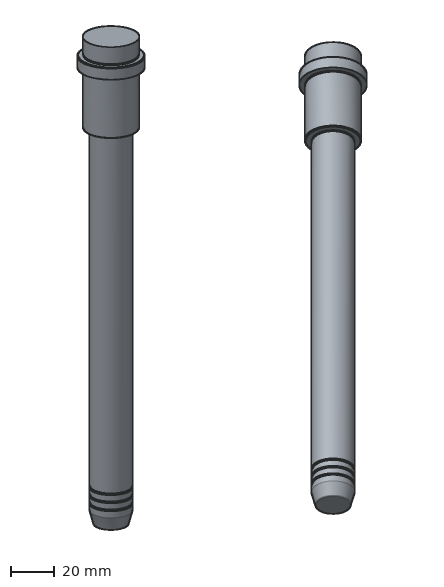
import cadquery as cq
import math

length = 240.0

shank_diameter = 20.0
head_diameter = 26.0
collar_diameter = 31.0

head_length = 45.0
collar_top_depth = 9.0
collar_thickness = 6.0
collar_chamfer = 0.5
head_chamfer = 0.5

relief_width = 0.7
relief_depth = 0.2

tip_length = 7.0
tip_angle = 15.0
tip_fillet = 0.5

groove_count = 3
first_groove_height = 10.5
last_groove_height = 18.5
groove_pitch = (last_groove_height - first_groove_height) / (groove_count - 1)
groove_width = 1.0
groove_depth = 0.5


def cylinder(diameter, bottom, height):
    return cq.Workplane("XY").workplane(offset=bottom).circle(diameter / 2).extrude(height)


def make_shank():
    """Long shank with a conical tip whose end edge is rounded."""
    radius = shank_diameter / 2
    end_radius = radius - tip_length * math.tan(math.radians(tip_angle))
    profile = (
        cq.Workplane("XZ")
        .moveTo(0, 0)
        .lineTo(end_radius, 0)
        .lineTo(radius, tip_length)
        .lineTo(radius, length - head_length)
        .lineTo(0, length - head_length)
        .close()
    )
    shank = profile.revolve(360, (0, 0, 0), (0, 1, 0))
    return shank.faces("<Z").edges().fillet(tip_fillet)


def make_head():
    head = cylinder(head_diameter, length - head_length, head_length)
    return head.faces("<Z").edges().chamfer(head_chamfer)


def make_collar():
    bottom = length - collar_top_depth - collar_thickness
    collar = cylinder(collar_diameter, bottom, collar_thickness)
    return collar.faces(">Z").edges().chamfer(collar_chamfer)


def make_relief(rod_diameter, bottom):
    """Ring to cut from a rod, leaving a shallow square groove."""
    outer = cylinder(collar_diameter, bottom, relief_width)
    core = cylinder(rod_diameter - 2 * relief_depth, bottom, relief_width)
    return outer.cut(core)


def cut_reliefs(body):
    collar_top = length - collar_top_depth
    collar_bottom = collar_top - collar_thickness
    for bottom in (collar_top, collar_bottom - relief_width):
        body = body.cut(make_relief(head_diameter, bottom))
    return body.cut(make_relief(shank_diameter, length - head_length - relief_width))


def make_v_groove(center_height):
    radius = shank_diameter / 2
    profile = (
        cq.Workplane("XZ")
        .moveTo(radius, center_height - groove_width / 2)
        .lineTo(radius - groove_depth, center_height)
        .lineTo(radius, center_height + groove_width / 2)
        .lineTo(head_diameter / 2, center_height + groove_width / 2)
        .lineTo(head_diameter / 2, center_height - groove_width / 2)
        .close()
    )
    return profile.revolve(360, (0, 0, 0), (0, 1, 0))


def cut_tip_grooves(body):
    for index in range(groove_count):
        body = body.cut(make_v_groove(first_groove_height + index * groove_pitch))
    return body


result = make_shank().union(make_head()).union(make_collar())
result = cut_reliefs(result)
result = cut_tip_grooves(result)